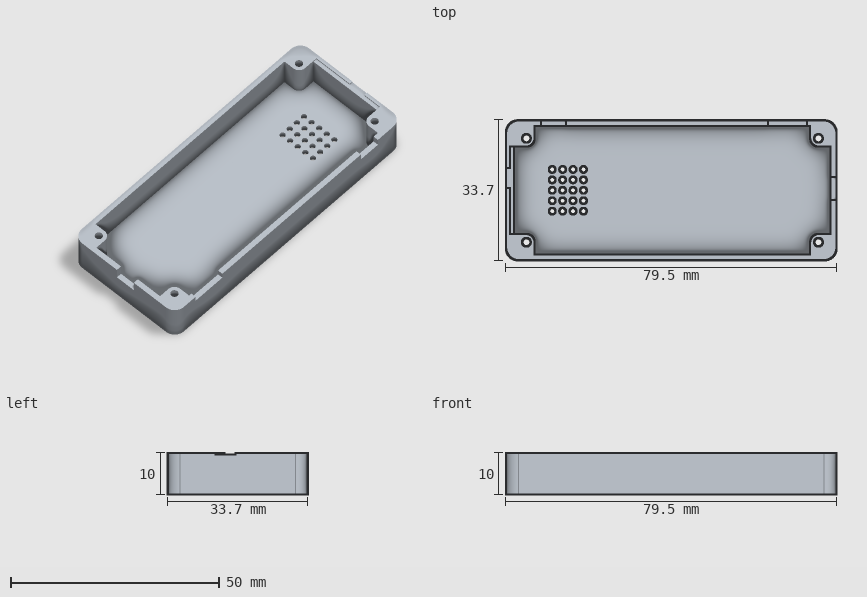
import cadquery as cq

length = 79.5
width = 33.7
height = 10.0
corner_radius = 3.0

wall = 1.4
left_wall = 2.0
floor = 1.6

screw_diameter = 2.0
post_radius = 2.0
post_inset = 2.95

grille_columns = 4
grille_rows = 5
grille_span_y = 10.0
grille_pitch = grille_span_y / (grille_rows - 1)
grille_diameter = 1.5
grille_first_x = -28.6

rebate_depth = 0.3
lip_thickness = 0.95
left_notch_width = 4.8
left_notch_y = 2.95

right_notch_width = 5.6
right_notch_y = 0.4
right_notch_depth = 3.0

back_notches = [(8.4, 14.4, 2.0), (62.95, 72.3, 1.6)]

inner_left = -length / 2 + left_wall
inner_right = length / 2 - wall
inner_back = width / 2 - wall
inner_length = inner_right - inner_left
inner_center_x = (inner_left + inner_right) / 2

screw_span_x = inner_length - 2 * post_inset
screw_y = inner_back - post_inset
screw_points = [
    (inner_center_x + side_x * screw_span_x / 2, side_y * screw_y)
    for side_x in (-1, 1)
    for side_y in (-1, 1)
]


def block(x_range, y_range, z_range):
    """Box spanning the given (low, high) ranges."""
    sizes = [high - low for low, high in (x_range, y_range, z_range)]
    corner = (x_range[0], y_range[0], z_range[0])
    return cq.Workplane("XY").box(*sizes, centered=False).translate(corner)


def top_notch(x_range, y_range, depth):
    """Cutter that opens a rectangle downward from the rim."""
    return block(x_range, y_range, (height - depth, height))


def centered_range(center, size):
    """The (low, high) range of a size about its center."""
    return (center - size / 2, center + size / 2)


def make_body():
    return cq.Workplane("XY").rect(length, width).extrude(height).edges("|Z").fillet(corner_radius)


def make_cavity():
    """Inner space: a rectangle less four corner posts rounded about their screws."""
    cavity = block(
        (inner_left, inner_right), (-inner_back, inner_back), (floor, height)
    )
    post_size = 2 * (post_inset + post_radius)
    for corner_x in (inner_left, inner_right):
        for side_y in (-1, 1):
            post = (
                cq.Workplane("XY", origin=(corner_x, side_y * inner_back, floor))
                .rect(post_size, post_size)
                .extrude(height - floor)
                .edges("|Z")
                .fillet(post_radius)
            )
            cavity = cavity.cut(post)
    return cavity


def make_holes(points, diameter):
    return cq.Workplane("XY").pushPoints(points).circle(diameter / 2).extrude(height)


result = make_body().cut(make_cavity())

grille_points = [
    (grille_first_x + column * grille_pitch, row * grille_pitch - grille_span_y / 2)
    for column in range(grille_columns)
    for row in range(grille_rows)
]
result = result.cut(make_holes(screw_points, screw_diameter))
result = result.cut(make_holes(grille_points, grille_diameter))

rebate_half = screw_y - post_radius
result = result.cut(
    top_notch((-length / 2 + lip_thickness, inner_left), (-rebate_half, rebate_half), rebate_depth)
)
result = result.cut(
    top_notch((-length / 2, inner_left), centered_range(left_notch_y, left_notch_width), rebate_depth)
)

result = result.cut(
    top_notch(
        (inner_right, length / 2), centered_range(right_notch_y, right_notch_width), right_notch_depth
    )
)

for start, end, depth in back_notches:
    result = result.cut(
        top_notch((start - length / 2, end - length / 2), (inner_back, width / 2), depth)
    )